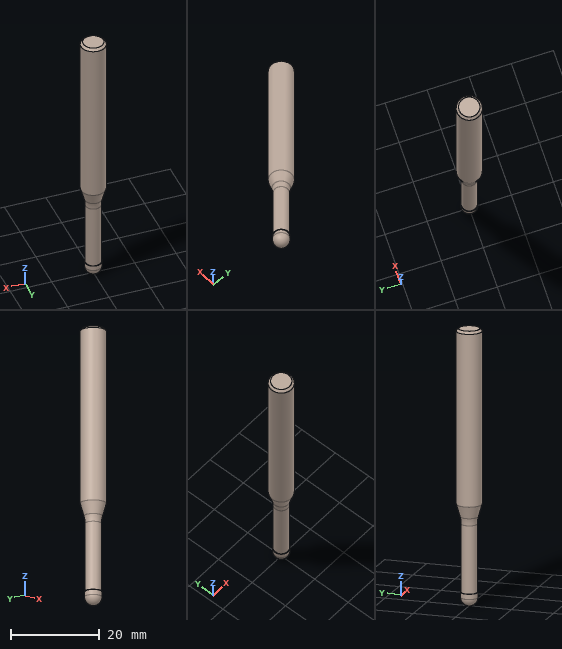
import cadquery as cq
import math

total_length = 65.0

head_radius = 2.0
head_length = 3.25

neck_radius = 1.9
neck_top = 19.25
shank_radius = 3.0
chamfer = 0.6

cone_angle = math.radians(16.2)
blend_radius = 6.25


def blend_point(angle):
    """Point (radius, height) on the blend where its side leans by the given angle."""
    return (
        neck_radius + blend_radius * (1 - math.cos(angle)),
        neck_top + blend_radius * math.sin(angle),
    )


def make_head():
    """Hemispherical tip with a short cylinder above it."""
    ball_mid = (head_radius * math.sin(math.pi / 4), head_radius * (1 - math.cos(math.pi / 4)))
    profile = (
        cq.Workplane("XZ")
        .moveTo(0, 0)
        .threePointArc(ball_mid, (head_radius, head_radius))
        .lineTo(head_radius, head_length)
        .lineTo(0, head_length)
        .close()
    )
    return profile.revolve(360, (0, 0, 0), (0, 1, 0))


def make_shank():
    """Neck, blended conical shoulder and chamfered shank, seated on the head."""
    cone_bottom_radius, cone_bottom = blend_point(cone_angle)
    cone_top = cone_bottom + (shank_radius - cone_bottom_radius) / math.tan(cone_angle)
    profile = (
        cq.Workplane("XZ")
        .moveTo(0, head_length)
        .lineTo(neck_radius, head_length)
        .lineTo(neck_radius, neck_top)
        .threePointArc(blend_point(cone_angle / 2), (cone_bottom_radius, cone_bottom))
        .lineTo(shank_radius, cone_top)
        .lineTo(shank_radius, total_length - chamfer)
        .lineTo(shank_radius - chamfer, total_length)
        .lineTo(0, total_length)
        .close()
    )
    return profile.revolve(360, (0, 0, 0), (0, 1, 0))


head = make_head()
shank = make_shank()

result = cq.Compound.makeCompound([head.val(), shank.val()])